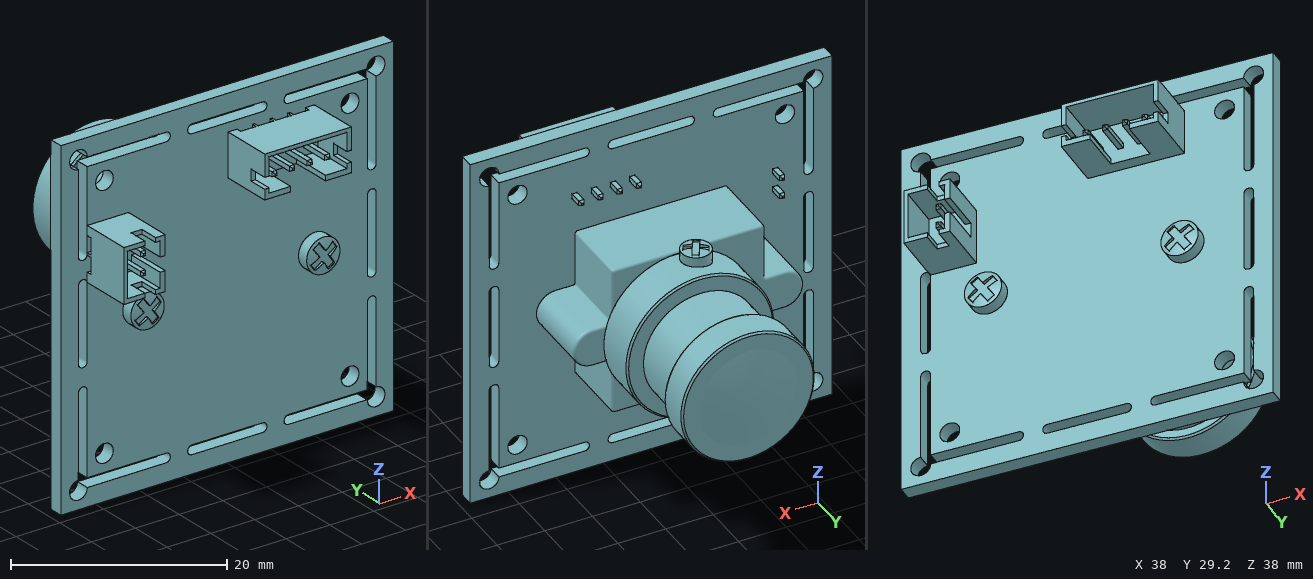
import cadquery as cq
import math


BOARD_SIDE = 38.0
BOARD_THICK = 1.6
SLOT_WIDTH = 1.0
SLOT_CENTRE = 16.5
MIDDLE_SLOT_HALF = 4.52
SLOT_BRIDGE = 1.98
CORNER_HOLE_PLACE = 17.0
MOUNT_HOLE_PLACE = 14.02
HOLE_DIA = 2.0

SCREW_PLACE = 10.05
SCREW_POINTS = [(-SCREW_PLACE, 0), (SCREW_PLACE, 0)]
SHANK_DIA = 1.8
SHANK_GRIP = 3.8
SHANK_LENGTH = BOARD_THICK + SHANK_GRIP
HEAD_DIA = 3.8
HEAD_SIDE = 1.3
DOME_RISE = 0.3
CROSS_DEPTH = 0.38
CROSS_WIDTH_RATIO = 0.22
CROSS_SPAN_RATIO = 0.8
BOARD_SCREW_ANGLE = 35

PIN_PITCH = 2.0
PIN_WIDTH = 0.55
PIN_TIP = 0.3
PIN_TIP_INSET = 0.15
PIN_FRONT = 4.95
PIN_BACK = 1.6
SHELL_HEIGHT = 5.8
SHELL_DEPTH = 4.7
SHELL_END_MARGIN = 3.85
SHELL_BACK = 3.0
SIDE_WALL = 0.5
BACK_WALL = 0.4
KEY_WALL = 0.57
CAVITY_DEPTH = 4.55
SIDE_SLOT_WIDTH = 1.2
SIDE_SLOT_DEPTH = 2.15
FOOT_NOTCH_WIDTH = 1.75
FOOT_NOTCH = 0.57

FOUR_PIN = (4, 4.0, 5.0, 12.0, 0)
TWO_PIN = (2, 1.55, -13.0, 7.03, -90)

LENS_X = 1.15
BASE_SIDE = 16.0
BASE_TOP = 8.95
BASE_ROUND = 0.3
LUG_RADIUS = 2.0
LUG_ROOT_ROUND = 0.2
COLLAR_DIA = 15.5
COLLAR_TOP = 13.45
BARREL_DIA = 12.0
CAP_DIA = 14.0
CAP_BOTTOM = 19.38
CAP_TOP = 22.85
RIM_CHAMFER = 0.2
GLASS_DIA = 10.25
GLASS_TOP = 23.37
SET_SCREW_DIA = 3.05
SET_SCREW_Y = 10.37
SET_SCREW_FOOT = 5.7
SET_SCREW_SIDE_TOP = 8.78
SET_SCREW_ANGLE = 60


def upright(y):
    """Workplane at height y over the board front; sketch X, Y run along X, Z and +extrude goes to -Y."""
    return cq.Workplane("XZ", origin=(0, y, 0))


def dome_midpoint(radius, rise, top):
    """Point halfway out on a spherical dome of given rim radius and rise, whose crown is at top."""
    sphere = (radius ** 2 + rise ** 2) / (2 * rise)
    middle = radius / 2
    return middle, top - sphere + math.sqrt(sphere ** 2 - middle ** 2)


def screw_head(diameter, side_height, cross_angle):
    """Domed cross-recess head standing on Z = 0 and pointing up +Z."""
    radius = diameter / 2
    crown = side_height + DOME_RISE
    head = (
        cq.Workplane("XZ")
        .lineTo(radius, 0)
        .lineTo(radius, side_height)
        .threePointArc(dome_midpoint(radius, DOME_RISE, crown), (0, crown))
        .close()
        .revolve(360, (0, 0), (0, 1))
    )
    floor = cq.Workplane("XY").workplane(offset=crown - CROSS_DEPTH)
    for angle in (cross_angle, cross_angle + 90):
        arm = floor.rect(diameter * CROSS_SPAN_RATIO, diameter * CROSS_WIDTH_RATIO).extrude(CROSS_DEPTH)
        head = head.cut(arm.rotate((0, 0, 0), (0, 0, 1), angle))
    return head


def make_board_screw(x):
    shank = cq.Workplane("XY").circle(SHANK_DIA / 2).extrude(-SHANK_LENGTH)
    screw = screw_head(HEAD_DIA, HEAD_SIDE, BOARD_SCREW_ANGLE).union(shank)
    return screw.rotate((0, 0, 0), (1, 0, 0), 90).translate((x, 0, 0))


def pin_places(count):
    return [((i - (count - 1) / 2) * PIN_PITCH, 0) for i in range(count)]


def make_pin():
    tip_side = PIN_WIDTH - 2 * PIN_TIP_INSET
    shaft_front = PIN_TIP - PIN_FRONT
    shaft_back = BOARD_THICK + PIN_BACK - PIN_TIP
    pin = upright(shaft_back).rect(PIN_WIDTH, PIN_WIDTH).extrude(shaft_back - shaft_front)
    front_tip = (
        upright(shaft_front).rect(PIN_WIDTH, PIN_WIDTH)
        .workplane(offset=PIN_TIP).rect(tip_side, tip_side).loft()
    )
    back_tip = (
        upright(shaft_back).rect(PIN_WIDTH, PIN_WIDTH)
        .workplane(offset=-PIN_TIP).rect(tip_side, tip_side).loft()
    )
    return pin.union(front_tip).union(back_tip)


def make_shell(count, key_width):
    length = (count - 1) * PIN_PITCH + SHELL_END_MARGIN
    key_side = SHELL_BACK - SHELL_DEPTH
    cavity_top = SHELL_BACK - BACK_WALL
    cavity_bottom = key_side + KEY_WALL
    mouth = upright(-SHELL_HEIGHT)

    shell = upright(0).center(0, SHELL_BACK - SHELL_DEPTH / 2).rect(length, SHELL_DEPTH).extrude(SHELL_HEIGHT)
    cavity = (
        mouth.center(0, (cavity_top + cavity_bottom) / 2)
        .rect(length - 2 * SIDE_WALL, cavity_top - cavity_bottom)
        .extrude(-CAVITY_DEPTH)
    )
    key_opening = mouth.center(0, key_side + KEY_WALL / 2).rect(key_width, KEY_WALL).extrude(-CAVITY_DEPTH)
    side_slots = mouth.rect(length, SIDE_SLOT_WIDTH).extrude(-SIDE_SLOT_DEPTH)
    shell = shell.cut(cavity).cut(key_opening).cut(side_slots)

    for x, _ in pin_places(count):
        notch = (
            cq.Workplane("YZ", origin=(x - FOOT_NOTCH_WIDTH / 2, 0, 0))
            .moveTo(0, SHELL_BACK)
            .lineTo(-FOOT_NOTCH, SHELL_BACK)
            .lineTo(0, SHELL_BACK - FOOT_NOTCH)
            .close()
            .extrude(FOOT_NOTCH_WIDTH)
        )
        shell = shell.cut(notch)
    return shell


def place_connector(shape, x, z, turn):
    return shape.rotate((0, 0, 0), (0, 1, 0), turn).translate((x, 0, z))


def make_connector(count, key_width, x, z, turn):
    connector = make_shell(count, key_width)
    for pin_x, _ in pin_places(count):
        connector = connector.union(make_pin().translate((pin_x, 0, 0)))
    return place_connector(connector, x, z, turn)


def slots_along_side():
    """Slots along the top side: one in the middle and one running into each corner hole."""
    corner_start = MIDDLE_SLOT_HALF + SLOT_BRIDGE
    corner_end = SLOT_CENTRE + SLOT_WIDTH / 2
    corner_length = corner_end - corner_start
    corner_centre = (corner_start + corner_end) / 2
    middle = upright(0).center(0, SLOT_CENTRE).slot2D(2 * MIDDLE_SLOT_HALF, SLOT_WIDTH).extrude(-BOARD_THICK)
    corners = (
        upright(0)
        .pushPoints([(-corner_centre, SLOT_CENTRE), (corner_centre, SLOT_CENTRE)])
        .slot2D(corner_length, SLOT_WIDTH)
        .extrude(-BOARD_THICK)
    )
    return middle.union(corners)


def make_board():
    board = upright(0).rect(BOARD_SIDE, BOARD_SIDE).extrude(-BOARD_THICK)
    slots = slots_along_side()
    for quarter in range(4):
        board = board.cut(slots.rotate((0, 0, 0), (0, 1, 0), 90 * quarter))

    signs = [(sx, sz) for sx in (-1, 1) for sz in (-1, 1)]
    for place in (CORNER_HOLE_PLACE, MOUNT_HOLE_PLACE):
        points = [(sx * place, sz * place) for sx, sz in signs]
        board = board.cut(upright(0).pushPoints(points).circle(HOLE_DIA / 2).extrude(-BOARD_THICK))

    board = board.cut(upright(0).pushPoints(SCREW_POINTS).circle(SHANK_DIA / 2).extrude(-BOARD_THICK))

    for count, _, x, z, turn in (FOUR_PIN, TWO_PIN):
        holes = upright(0).pushPoints(pin_places(count)).rect(PIN_WIDTH, PIN_WIDTH).extrude(-BOARD_THICK)
        board = board.cut(place_connector(holes, x, z, turn))
    return board


def make_base():
    """Square block with a round-ended lug on each side for the board screws."""
    height = BASE_TOP - BOARD_THICK
    back = upright(BOARD_THICK)
    block = back.rect(BASE_SIDE, BASE_SIDE).extrude(-height).edges("|Y").fillet(BASE_ROUND)
    lugs = back.slot2D(2 * (SCREW_PLACE + LUG_RADIUS), 2 * LUG_RADIUS).extrude(-height)
    base = block.union(lugs)
    root = BASE_SIDE / 2
    corner = cq.selectors.BoxSelector(
        (-root - LUG_ROOT_ROUND, 0, -LUG_RADIUS - LUG_ROOT_ROUND),
        (root + LUG_ROOT_ROUND, BASE_TOP, LUG_RADIUS + LUG_ROOT_ROUND),
    )
    base = base.edges("|Y").edges(corner).fillet(LUG_ROOT_ROUND)
    base = base.faces(">Y").edges().fillet(BASE_ROUND)
    return base.cut(back.pushPoints(SCREW_POINTS).circle(SHANK_DIA / 2).extrude(-SHANK_GRIP))


def make_optics():
    """Collar, barrel, cap and glass dome, turned about the lens axis."""
    collar = COLLAR_DIA / 2
    barrel = BARREL_DIA / 2
    cap = CAP_DIA / 2
    glass = GLASS_DIA / 2
    glass_middle = dome_midpoint(glass, GLASS_TOP - CAP_TOP, GLASS_TOP)
    profile = (
        cq.Workplane("XY")
        .moveTo(0, BASE_TOP - BASE_ROUND)
        .lineTo(barrel, BASE_TOP - BASE_ROUND)
        .lineTo(barrel, BASE_TOP)
        .lineTo(collar, BASE_TOP)
        .lineTo(collar, COLLAR_TOP - RIM_CHAMFER)
        .lineTo(collar - RIM_CHAMFER, COLLAR_TOP)
        .lineTo(barrel, COLLAR_TOP)
        .lineTo(barrel, CAP_BOTTOM)
        .lineTo(cap - RIM_CHAMFER, CAP_BOTTOM)
        .lineTo(cap, CAP_BOTTOM + RIM_CHAMFER)
        .lineTo(cap, CAP_TOP - RIM_CHAMFER)
        .lineTo(cap - RIM_CHAMFER, CAP_TOP)
        .lineTo(glass, CAP_TOP)
        .threePointArc(glass_middle, (0, GLASS_TOP))
        .close()
    )
    return profile.revolve(360, (0, 0), (0, 1)).translate((LENS_X, 0, 0))


def make_set_screw():
    side_height = SET_SCREW_SIDE_TOP - SET_SCREW_FOOT
    head = screw_head(SET_SCREW_DIA, side_height, SET_SCREW_ANGLE)
    return head.translate((0, SET_SCREW_Y, SET_SCREW_FOOT))


def make_camera():
    return make_base().union(make_optics()).union(make_set_screw())


board = make_board()
connectors = [make_connector(*kind) for kind in (FOUR_PIN, TWO_PIN)]
board_screws = [make_board_screw(x) for x, _ in SCREW_POINTS]
camera = make_camera()

result = cq.Compound.makeCompound([
    board.val(),
    *[connector.val() for connector in connectors],
    *[screw.val() for screw in board_screws],
    camera.val(),
])